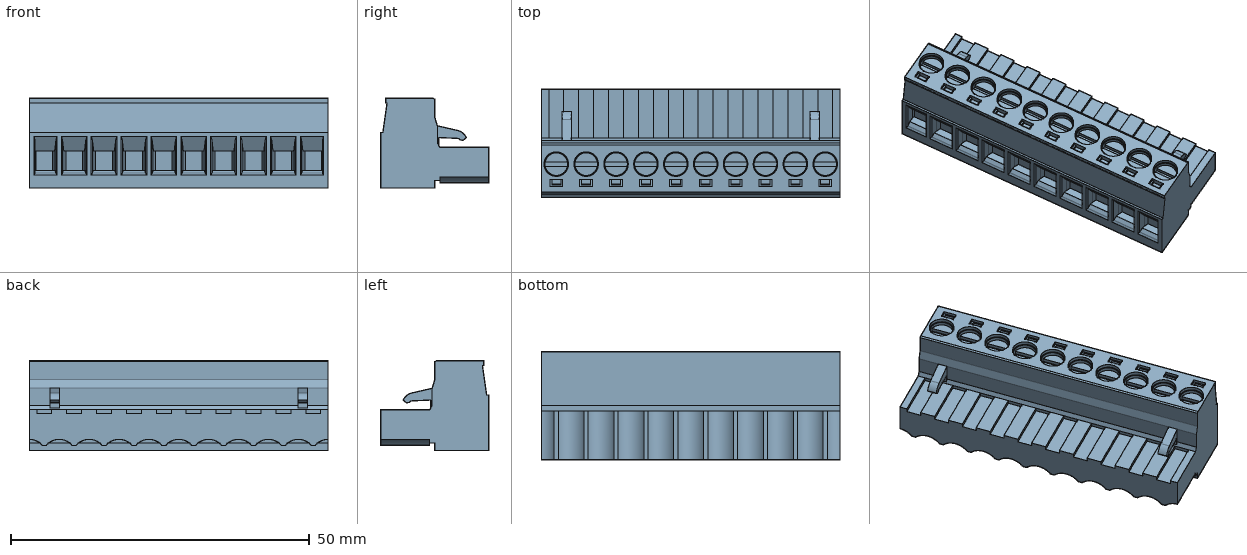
import cadquery as cq

length = 50.0
depth = 18.1
height = 15.05
pole_count = 10
pitch = 5.0
first_pole_x = 2.5
pole_xs = [first_pole_x + pitch * i for i in range(pole_count)]
overcut = 0.5

plug_start_y = 9.9
plug_top_z = 6.85
housing_back_y = 9.05
waist_y = 9.5
waist_top_z = 10.45
waist_bottom_z = 7.55
back_bend_z = 11.9
back_bevel_width = 0.3
back_bevel_drop = 0.15
lip_y = 0.85
lip_bottom_z = 14.25
slope_top_y = 1.05
slope_bottom_y = 0.35
front_top_z = 9.35
neck_bottom_z = 1.25

plug_bottom_z = 0.9
groove_depth = 0.6
groove_width = pitch / 2
scallop_rise = 1.0
scallop_width = 4.3

entry_bottom_z = 2.2
entry_top_z = 8.65
entry_half_width = 2.15
entry_lip = 0.2
entry_lip_depth = 0.3
entry_lip_top_z = 2.5
entry_ramp_end_y = 0.95
entry_floor_z = 2.95
entry_roof_z = 6.25
entry_roof_start_y = 1.3
entry_bend_y = 1.45
entry_bend_half_width = 1.7
entry_depth = 2.2
entry_back_half_width = 1.4
end_wall = 0.75

screw_y = 5.55
screw_hole_diameter = 4.1
screw_seat_diameter = 3.8
screw_rim_depth = 0.6
screw_hole_depth = 1.2
screw_slot_width = 0.75
screw_slot_depth = 0.6

probe_front_y = 1.8
probe_width = 2.15
probe_length = 1.15
probe_ledge_depth = 0.5
probe_slot_width = 1.5
probe_slot_depth = 0.9
probe_floor_length = 0.7

latch_width = 1.55
latch_xs = [4.25, 45.75]
latch_root_y = 9.75
latch_tip_y = 14.35
latch_underside_z = 8.45


def extrude_along_x(profile, x_start, x_length):
    """Extrude a profile given as (y, z) points from x_start towards +X."""
    return cq.Workplane("YZ", origin=(x_start, 0, 0)).polyline(profile).close().extrude(x_length)


def housing():
    profile = [
        (0, 0),
        (housing_back_y, 0),
        (housing_back_y, neck_bottom_z),
        (plug_start_y, neck_bottom_z),
        (plug_start_y, plug_top_z),
        (waist_y, waist_bottom_z),
        (waist_y, waist_top_z),
        (housing_back_y, back_bend_z),
        (housing_back_y, height - back_bevel_drop),
        (housing_back_y - back_bevel_width, height),
        (lip_y, height),
        (lip_y, lip_bottom_z),
        (slope_top_y, lip_bottom_z),
        (slope_bottom_y, front_top_z),
        (0, front_top_z),
    ]
    return extrude_along_x(profile, 0, length)


def plug():
    """Mating section with a groove over each pole and scallops below, between the poles."""
    plug_length = depth - plug_start_y
    body = cq.Workplane("XY").box(
        length, plug_length, plug_top_z - plug_bottom_z, centered=False
    ).translate((0, plug_start_y, plug_bottom_z))
    groove_z = plug_top_z - groove_depth
    for x in pole_xs:
        groove = cq.Workplane("XY").box(
            groove_width, plug_length, groove_depth, centered=(True, False, False)
        )
        body = body.cut(groove.translate((x, plug_start_y, groove_z)))
    for i in range(pole_count + 1):
        middle_x = first_pole_x + pitch * (i - 0.5)
        scallop = (
            cq.Workplane("XZ", origin=(middle_x, depth, plug_bottom_z))
            .moveTo(-scallop_width / 2, 0)
            .threePointArc((0, scallop_rise), (scallop_width / 2, 0))
            .close()
            .extrude(plug_length)
        )
        body = body.cut(scallop)
    return body


def latch(middle_x):
    """Hooked finger that rises from the plug and reaches over it."""
    profile = (
        cq.Workplane("YZ", origin=(middle_x - latch_width / 2, 0, 0))
        .moveTo(housing_back_y, plug_top_z - groove_depth)
        .lineTo(latch_root_y, plug_top_z - groove_depth)
        .lineTo(latch_root_y, latch_underside_z)
        .lineTo(13.1, 8.3)
        .lineTo(13.25, 8.05)
        .lineTo(13.8, 8.0)
        .lineTo(latch_tip_y, latch_underside_z)
        .threePointArc((13.8, 9.2), (13.0, 9.65))
        .lineTo(waist_y, waist_top_z)
        .lineTo(housing_back_y, waist_top_z)
        .close()
    )
    return profile.extrude(latch_width)


def wire_entry(middle_x):
    """Flared mouth with a ramped floor and roof, narrowing towards its back wall."""
    lip_half_width = entry_half_width - entry_lip
    right_side = [
        (entry_half_width, 0),
        (lip_half_width, entry_lip_depth),
        (entry_bend_half_width, entry_bend_y),
        (entry_back_half_width, entry_depth),
    ]
    left_side = [(-x, y) for x, y in reversed(right_side)]
    plan = cq.Workplane("XY", origin=(middle_x, 0, 0)).polyline(right_side + left_side).close()
    side_profile = [
        (0, entry_bottom_z),
        (entry_lip_depth, entry_lip_top_z),
        (entry_ramp_end_y, entry_floor_z),
        (entry_depth, entry_floor_z),
        (entry_depth, entry_roof_z),
        (entry_roof_start_y, entry_roof_z),
        (0, entry_top_z),
    ]
    section = extrude_along_x(side_profile, middle_x - entry_half_width, 2 * entry_half_width)
    return plan.extrude(height).intersect(section)


def entry_limits():
    """Block that keeps the outermost entries clear of the end faces, flared like the mouths."""
    near = end_wall
    far = length - end_wall
    plan = [
        (near, 0),
        (near + entry_lip, entry_lip_depth),
        (near + entry_lip, entry_depth),
        (far - entry_lip, entry_depth),
        (far - entry_lip, entry_lip_depth),
        (far, 0),
    ]
    return cq.Workplane("XY").polyline(plan).close().extrude(height)


def screw_hole(middle_x):
    """Stepped hole down to a slotted screw head."""
    floor_z = height - screw_hole_depth
    hole = (
        cq.Workplane("XY", origin=(middle_x, screw_y, floor_z))
        .circle(screw_seat_diameter / 2)
        .extrude(screw_hole_depth)
    )
    rim = (
        cq.Workplane("XY", origin=(middle_x, screw_y, height - screw_rim_depth))
        .circle(screw_hole_diameter / 2)
        .extrude(screw_rim_depth)
    )
    slot = (
        cq.Workplane("XY", origin=(middle_x, screw_y, floor_z - screw_slot_depth))
        .rect(screw_seat_diameter, screw_slot_width)
        .extrude(screw_slot_depth + overcut)
        .intersect(
            cq.Workplane("XY", origin=(middle_x, screw_y, 0))
            .circle(screw_seat_diameter / 2)
            .extrude(height)
        )
    )
    return hole.union(rim).union(slot)


def probe_pocket(middle_x):
    """Rectangular pocket with a narrower, deeper slot whose front wall slopes."""
    back_y = probe_front_y + probe_length
    floor_z = height - probe_slot_depth
    ledge = cq.Workplane("XY").box(
        probe_width, probe_length, probe_ledge_depth, centered=(True, False, False)
    ).translate((middle_x, probe_front_y, height - probe_ledge_depth))
    slot_profile = [
        (probe_front_y, height),
        (back_y - probe_floor_length, floor_z),
        (back_y, floor_z),
        (back_y, height),
    ]
    slot = extrude_along_x(slot_profile, middle_x - probe_slot_width / 2, probe_slot_width)
    return ledge.union(slot)


result = housing().union(plug())
for latch_x in latch_xs:
    result = result.union(latch(latch_x))

limits = entry_limits()
for pole_x in pole_xs:
    result = result.cut(wire_entry(pole_x).intersect(limits))
    result = result.cut(screw_hole(pole_x))
    result = result.cut(probe_pocket(pole_x))